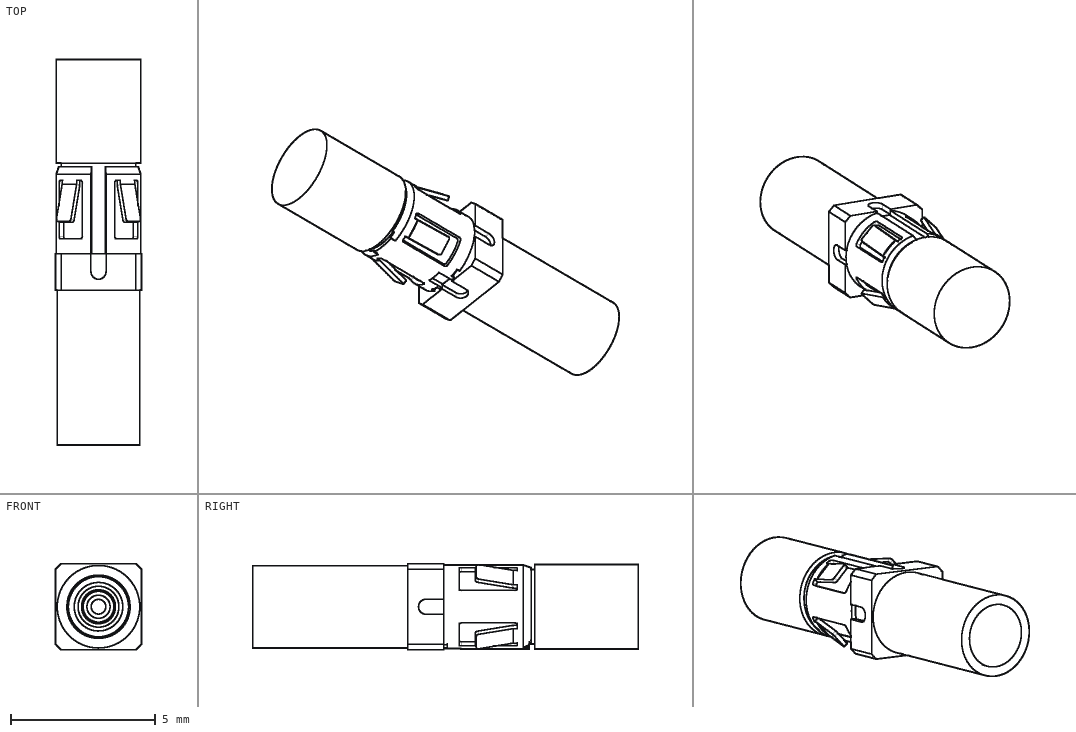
import cadquery as cq
import math

total_length = 13.4
tube_length = 5.39
flange_length = 1.26
clip_length = 3.03
sleeve_length = 3.6
flange_back = tube_length + flange_length
clip_end = flange_back + clip_length
sleeve_start = total_length - sleeve_length

quarter_turns = [0.0, 90.0, 180.0, 270.0]

flange_side = 3.0
flange_chamfer = 0.2
tube_radius = 1.43
tube_bore_radius = 1.1
slot_width = 0.52
slot_length = 0.88

sleeve_radius = 1.47
core_radius = 1.3
core_bore_radius = 1.05

clip_radius = 1.47
clip_thickness = 0.16
clip_bore_radius = clip_radius - clip_thickness
clip_cone_length = 0.27
clip_cone_drop = 0.1
split_angle = 20.5
bottom_slit_length = 0.59
notch_length = 0.12
notch_angle = 12.0
notch_offset = 21.0
key_angle = 36.0
key_relief_angle = 54.0
key_setback = 0.07
window_start = 7.17
window_end = 9.19
window_angle = 45.0
window_corner = 0.08
lance_width = 0.71
lance_tip = 7.77
lance_tip_radius = 1.73
lance_bend = window_end - 0.13
lance_corner = 0.08
lance_angles = [45.0 + angle for angle in quarter_turns]

post_radius = 0.85
post_length = 2.01
post_fillet = core_bore_radius - post_radius
post_lip_radius = 0.71
post_mouth_radius = 0.59
post_mouth_depth = 0.4

contact_radius = 0.54
contact_setback = 0.2
socket_radius = 0.25
socket_countersink = 0.4
socket_depth = 1.34
drill_point_slope = 31.0
drill_point_height = socket_radius * math.tan(math.radians(drill_point_slope))

overlap = 0.07
angle_tolerance = 0.01


def revolve_y(points, angle=360.0):
    """Revolve an outline of (radius, y) points about the Y axis, centred on +Z."""
    solid = cq.Workplane("XY").polyline(points).close().revolve(angle, (0, 0, 0), (0, 1, 0))
    return solid.rotate((0, 0, 0), (0, 1, 0), -90.0 - angle / 2)


def ring_sector(inner, outer, y_start, y_end, angle=360.0):
    """Ring of rectangular section, or a sector of it centred on +Z."""
    return revolve_y([(inner, y_start), (outer, y_start), (outer, y_end), (inner, y_end)], angle)


def turn(solid, angle):
    """Turn a solid about the Y axis."""
    return solid.rotate((0, 0, 0), (0, 1, 0), angle)


def make_flange_slot():
    """Cutter for a slot in the top flange face, open to the rear with a round front end."""
    height = flange_side / 2 - core_radius
    centre_y = flange_back - slot_length + slot_width / 2
    straight_end = flange_back + overlap
    round_end = (
        cq.Workplane("XY").workplane(offset=core_radius)
        .center(0, centre_y).circle(slot_width / 2).extrude(height + overlap)
    )
    straight = (
        cq.Workplane("XY").workplane(offset=core_radius)
        .center(0, (centre_y + straight_end) / 2)
        .rect(slot_width, straight_end - centre_y).extrude(height + overlap)
    )
    return round_end.union(straight)


def make_shell():
    """Bored square flange and tube, with one slot in each flange face."""
    flange = (
        cq.Workplane("XY")
        .box(flange_side, flange_length, flange_side)
        .edges("|Y").chamfer(flange_chamfer)
        .translate((0, tube_length + flange_length / 2, 0))
    )
    tube = ring_sector(0, tube_radius, 0, tube_length + overlap)
    bore = ring_sector(0, tube_bore_radius, -overlap, flange_back + overlap)
    shell = flange.union(tube).cut(bore)
    slot = make_flange_slot()
    for angle in quarter_turns:
        shell = shell.cut(turn(slot, angle))
    return shell


def make_barrel():
    """Solid sleeve with a bored core reaching forward to the flange."""
    return revolve_y([
        (core_bore_radius, flange_back),
        (core_radius, flange_back),
        (core_radius, sleeve_start),
        (sleeve_radius, sleeve_start),
        (sleeve_radius, total_length),
        (0, total_length),
        (0, sleeve_start),
        (core_bore_radius, sleeve_start),
    ])


def is_radial(edge):
    """True for a straight edge that points away from the Y axis."""
    return edge.geomType() == "LINE" and abs(edge.tangentAt(0).y) < angle_tolerance


def make_lance():
    """Flat tongue that leaves the root strip just under its outer face and slopes outward."""
    plate_root_z = math.sqrt(clip_radius ** 2 - (lance_width / 2) ** 2)
    slope = math.atan2(lance_tip_radius - plate_root_z, lance_bend - lance_tip)
    inward_y = clip_thickness * math.sin(slope)
    inward_z = clip_thickness * math.cos(slope)
    root_y = lance_bend + overlap
    root_z = plate_root_z - overlap * math.tan(slope)
    tip_edges = cq.selectors.BoxSelector(
        (-lance_width, lance_tip - clip_thickness, 0),
        (lance_width, lance_tip + clip_thickness, flange_side),
    )
    return (
        cq.Workplane("YZ")
        .polyline([
            (root_y, root_z),
            (lance_tip, lance_tip_radius),
            (lance_tip - inward_y, lance_tip_radius - inward_z),
            (root_y, root_z - clip_thickness / math.cos(slope)),
        ])
        .close().extrude(lance_width / 2, both=True)
        .edges(tip_edges).edges("not |X").fillet(lance_corner)
    )


def make_window():
    """Cutter for a round-cornered window with radial walls, sparing the strip that roots the lance."""
    inner = clip_bore_radius - overlap
    outer = clip_radius + overlap
    sector = ring_sector(inner, outer, window_start, window_end, window_angle)
    corners = [edge for edge in sector.edges().vals() if is_radial(edge)]
    root_length = window_end + overlap - lance_bend
    root = (
        cq.Workplane("XY")
        .box(lance_width, root_length, 2 * clip_radius, centered=(True, False, False))
        .translate((0, lance_bend, 0))
    )
    return sector.newObject(corners).fillet(window_corner).cut(root)


def clip_cutter(y_start, y_end, angle, direction):
    """Cutter through the clip wall, spanning an angle about a direction measured from +Z."""
    return turn(
        ring_sector(clip_bore_radius - overlap, clip_radius + overlap, y_start, y_end, angle), direction
    )


def make_clip():
    """Split ring with windows and lances; boring it last also trims the lances inside."""
    front = flange_back - overlap
    back = clip_end + overlap
    top = 0.0
    bottom = 180.0
    key_end = clip_end - key_setback
    clip = revolve_y([
        (0, flange_back),
        (clip_radius, flange_back),
        (clip_radius, clip_end - clip_cone_length),
        (clip_radius - clip_cone_drop, clip_end),
        (0, clip_end),
    ])

    key_start = clip_end - clip_cone_length - overlap
    key = ring_sector(clip_bore_radius - overlap, clip_radius, key_start, key_end, key_angle)
    clip = clip.cut(clip_cutter(key_end, back, key_relief_angle, bottom)).union(turn(key, bottom))

    clip = clip.cut(clip_cutter(front, back, split_angle, top))
    clip = clip.cut(clip_cutter(front, flange_back + bottom_slit_length, split_angle, bottom))
    for side in (-1, 1):
        direction = bottom + side * notch_offset
        clip = clip.cut(clip_cutter(front, flange_back + notch_length, notch_angle, direction))

    window = make_window()
    lance = make_lance()
    for angle in lance_angles:
        clip = clip.cut(turn(window, angle)).union(turn(lance, angle))
    return clip.cut(ring_sector(0, clip_bore_radius, front, back))


def make_insulator():
    """Plug in the core bore with a filleted post reaching into the tube."""
    post_tip = flange_back - post_length
    post_chamfer = post_radius - post_lip_radius
    mouth_slope = post_lip_radius - post_mouth_radius
    mouth_floor = post_tip + post_mouth_depth
    arc_middle = post_fillet * (1 - math.sqrt(0.5))
    outline = (
        cq.Workplane("XY")
        .moveTo(contact_radius, sleeve_start)
        .lineTo(core_bore_radius, sleeve_start)
        .lineTo(core_bore_radius, flange_back)
        .threePointArc(
            (post_radius + arc_middle, flange_back - arc_middle),
            (post_radius, flange_back - post_fillet),
        )
        .lineTo(post_radius, post_tip + post_chamfer)
        .lineTo(post_lip_radius, post_tip)
        .lineTo(post_mouth_radius, post_tip + mouth_slope)
        .lineTo(post_mouth_radius, mouth_floor)
        .lineTo(contact_radius, mouth_floor)
        .close()
    )
    return outline.revolve(360.0, (0, 0, 0), (0, 1, 0))


def make_contact():
    """Pin inside the insulator with a countersunk, drilled socket."""
    contact_tip = flange_back - post_length + contact_setback
    return revolve_y([
        (0, sleeve_start),
        (contact_radius, sleeve_start),
        (contact_radius, contact_tip),
        (socket_countersink, contact_tip),
        (socket_radius, contact_tip + socket_countersink - socket_radius),
        (socket_radius, contact_tip + socket_depth),
        (0, contact_tip + socket_depth + drill_point_height),
    ])


shell = make_shell()
barrel = make_barrel()
clip = make_clip()
insulator = make_insulator()
contact = make_contact()

result = cq.Compound.makeCompound([
    shell.val(), barrel.val(), clip.val(), insulator.val(), contact.val(),
])